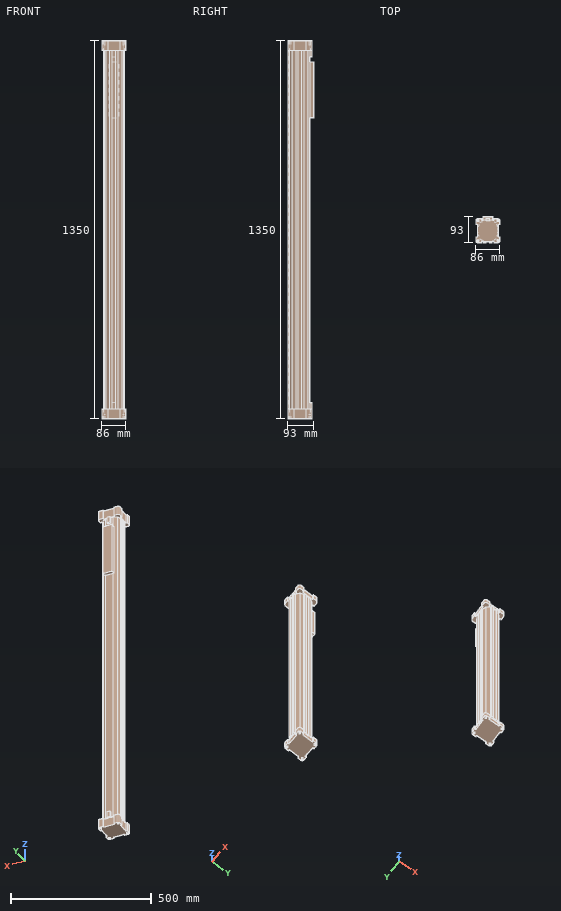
import cadquery as cq
import math

TOTAL_LENGTH = 1350.0
HALF_LENGTH = TOTAL_LENGTH / 2

CAP_WIDTH = 86.0
CAP_THICKNESS = 35.0
SIDE_RECESS_WIDTH = 43.0
SIDE_RECESS_DEPTH = 5.0
CORNER_RADIUS = 8.0
SCREW_HOLE_DIAMETER = 6.0
SCREW_HOLE_DEPTH = 16.0

FRONT_SHOULDER_Y = -38.0
BACK_Y = 35.0
SIDE_SHOULDER_X = 34.0
SHOULDER_HALF_WIDTH = 15.0
CORNER_REACH = 40.0
BEVEL_X = 30.0
BEVEL_Y = 27.0

SLOT_WIDTH = 12.0
RAIL_SLOT_DEPTH = 3.0
FRONT_RAIL_Y = -CAP_WIDTH / 2
SIDE_RAIL_X = 38.0

TONGUE_LENGTH = 23.0
TONGUE_TOP_Y = CAP_WIDTH / 2
BLOCK_WIDTH = 36.0
BLOCK_LENGTH = 200.0
BLOCK_TOP_Y = 50.0
BLOCK_END_GAP = 40.0

BARREL_LENGTH = TOTAL_LENGTH - 2 * CAP_THICKNESS
BARREL_TOP_Z = BARREL_LENGTH / 2


def box_between(x_limits, y_limits, z_limits):
    """Box given by its lower and upper limit along each axis."""
    limits = (x_limits, y_limits, z_limits)
    sizes = [upper - lower for lower, upper in limits]
    corner = tuple(lower for lower, upper in limits)
    return cq.Workplane("XY").box(*sizes, centered=False).translate(corner)


def make_cap(end):
    """End cap whose outer face points to +Z (end = 1) or to -Z (end = -1)."""
    outer_z = end * HALF_LENGTH
    cap = (
        cq.Workplane("XY", origin=(0, 0, outer_z))
        .rect(CAP_WIDTH, CAP_WIDTH)
        .extrude(-end * CAP_THICKNESS)
        .edges("|Z")
        .fillet(CORNER_RADIUS)
    )

    side_recesses = (
        cq.Workplane("XY", origin=(0, 0, outer_z))
        .polarArray(CAP_WIDTH / 2, 0, 360, 4)
        .rect(2 * SIDE_RECESS_DEPTH, SIDE_RECESS_WIDTH)
        .extrude(-end * CAP_THICKNESS)
    )

    hole_spacing = CAP_WIDTH - 2 * CORNER_RADIUS
    screw_holes = (
        cq.Workplane("XY", origin=(0, 0, outer_z))
        .rect(hole_spacing, hole_spacing, forConstruction=True)
        .vertices()
        .circle(SCREW_HOLE_DIAMETER / 2)
        .extrude(-end * SCREW_HOLE_DEPTH)
    )
    return cap.cut(side_recesses).cut(screw_holes)


def barrel_core():
    """Eight-sided core with bevelled corners, over the full barrel length."""
    corner = CORNER_REACH * math.cos(math.radians(45))
    right_half = [
        (SHOULDER_HALF_WIDTH, FRONT_SHOULDER_Y),
        (corner, -corner),
        (BEVEL_X, -BEVEL_Y),
        (SIDE_SHOULDER_X, -SHOULDER_HALF_WIDTH),
        (SIDE_SHOULDER_X, SHOULDER_HALF_WIDTH),
        (BEVEL_X, BEVEL_Y),
        (corner, corner),
        (SHOULDER_HALF_WIDTH, BACK_Y),
    ]
    left_half = [(-x, y) for x, y in reversed(right_half)]
    return (
        cq.Workplane("XY", origin=(0, 0, -BARREL_TOP_Z))
        .polyline(right_half + left_half)
        .close()
        .extrude(BARREL_LENGTH)
    )


def make_barrel():
    full_length = (-BARREL_TOP_Z, BARREL_TOP_Z)
    slot_span = (-SLOT_WIDTH / 2, SLOT_WIDTH / 2)
    rail_span = (-SHOULDER_HALF_WIDTH, SHOULDER_HALF_WIDTH)

    side_rails = box_between((-SIDE_RAIL_X, SIDE_RAIL_X), rail_span, full_length)
    front_rails = box_between(rail_span, (FRONT_RAIL_Y, FRONT_SHOULDER_Y), full_length)
    barrel = barrel_core().union(side_rails).union(front_rails)

    slot_floor_x = SIDE_RAIL_X - RAIL_SLOT_DEPTH
    for x_limits in ((-SIDE_RAIL_X, -slot_floor_x), (slot_floor_x, SIDE_RAIL_X)):
        barrel = barrel.cut(box_between(x_limits, slot_span, full_length))
    front_slot_y = (FRONT_RAIL_Y, FRONT_RAIL_Y + RAIL_SLOT_DEPTH)
    barrel = barrel.cut(box_between(slot_span, front_slot_y, full_length))

    tongue_y = (BACK_Y, TONGUE_TOP_Y)
    tongue_start_z = BARREL_TOP_Z - TONGUE_LENGTH
    for z_limits in ((-BARREL_TOP_Z, -tongue_start_z), (tongue_start_z, BARREL_TOP_Z)):
        barrel = barrel.union(box_between(slot_span, tongue_y, z_limits))

    block_top_z = BARREL_TOP_Z - BLOCK_END_GAP
    block = box_between(
        (-BLOCK_WIDTH / 2, BLOCK_WIDTH / 2),
        (BACK_Y, BLOCK_TOP_Y),
        (block_top_z - BLOCK_LENGTH, block_top_z),
    )
    return barrel.union(block)


barrel = make_barrel()
caps = [make_cap(end) for end in (-1, 1)]

result = cq.Compound.makeCompound([barrel.val(), *(cap.val() for cap in caps)])